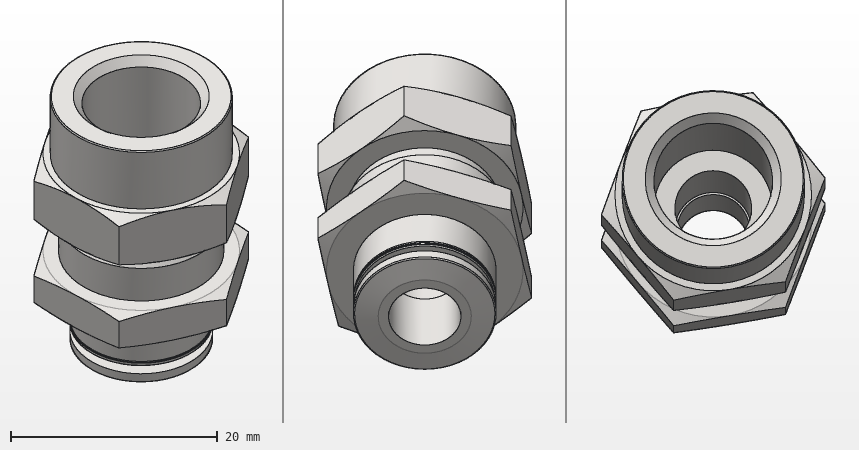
import cadquery as cq
import math

hex_across_flats = 19.0
hex_across_corners = hex_across_flats / math.cos(math.radians(30))
upper_hex_bottom = 17.0
upper_hex_height = 6.0
upper_hex_corner_drop = 0.7
lower_hex_bottom = 7.2
lower_hex_height = 4.0
lower_hex_corner_drop = 0.4

total_height = 30.0
head_diameter = 17.6
head_chamfer = 0.12
neck_diameter = 14.75
neck_bottom = 15.8
shank_diameter = 16.0
shank_taper_bottom = 15.15
sleeve_diameter = 13.8
sleeve_bottom = 2.4
sleeve_groove_diameter = 13.62
sleeve_groove_top = 3.0
sleeve_groove_bottom = 2.8
sleeve_chamfer = 0.12

socket_diameter = 11.45
socket_mouth_diameter = 13.15
socket_mouth_depth = (socket_mouth_diameter - socket_diameter) / 2
socket_floor = upper_hex_bottom
passage_diameter = 7.4

ring_stem_diameter = 8.8
ring_stem_base_diameter = 8.95
ring_stem_taper_top = 1.83
ring_bore_diameter = 7.0
ring_top = lower_hex_bottom
flange_diameter = 13.8
flange_top = 1.5
flange_rim_bottom = 0.55
flange_edge_bottom = 0.42
flange_edge_diameter = 13.55
flange_face_diameter = 9.0


def revolved(points):
    """Revolve a closed (radius, z) outline about the Z axis."""
    return cq.Workplane("XZ").polyline(points).close().revolve(360, (0, 0), (0, 1))


def chamfered_hexagon(bottom, height, corner_drop):
    """Hexagonal prism whose corners are turned down to a cone at both ends."""
    face_radius = hex_across_flats / 2
    corner_radius = hex_across_corners / 2
    top = bottom + height
    prism = cq.Workplane("XY").workplane(offset=bottom).polygon(6, hex_across_corners).extrude(height)
    envelope = revolved([
        (0, bottom),
        (face_radius, bottom),
        (corner_radius, bottom + corner_drop),
        (corner_radius, top - corner_drop),
        (face_radius, top),
        (0, top),
    ])
    return prism.intersect(envelope)


def make_housing():
    """Turned body with two hexagons, a socket on top and a seat for the release ring below."""
    head_radius = head_diameter / 2
    neck_radius = neck_diameter / 2
    shank_radius = shank_diameter / 2
    sleeve_radius = sleeve_diameter / 2
    groove_radius = sleeve_groove_diameter / 2
    turned_body = revolved([
        (0, sleeve_bottom),
        (sleeve_radius - sleeve_chamfer, sleeve_bottom),
        (sleeve_radius, sleeve_bottom + sleeve_chamfer),
        (sleeve_radius, sleeve_groove_bottom),
        (groove_radius, sleeve_groove_bottom),
        (sleeve_radius, sleeve_groove_top),
        (sleeve_radius, lower_hex_bottom),
        (shank_radius, lower_hex_bottom),
        (shank_radius, shank_taper_bottom),
        (neck_radius, neck_bottom),
        (neck_radius, upper_hex_bottom),
        (head_radius, upper_hex_bottom),
        (head_radius, total_height - head_chamfer),
        (head_radius - head_chamfer, total_height),
        (0, total_height),
    ])
    upper_hexagon = chamfered_hexagon(upper_hex_bottom, upper_hex_height, upper_hex_corner_drop)
    lower_hexagon = chamfered_hexagon(lower_hex_bottom, lower_hex_height, lower_hex_corner_drop)

    seat_radius = ring_stem_diameter / 2
    passage_radius = passage_diameter / 2
    socket_radius = socket_diameter / 2
    stepped_bore = revolved([
        (0, sleeve_bottom),
        (seat_radius, sleeve_bottom),
        (seat_radius, ring_top),
        (passage_radius, ring_top),
        (passage_radius, socket_floor),
        (socket_radius, socket_floor),
        (socket_radius, total_height - socket_mouth_depth),
        (socket_mouth_diameter / 2, total_height),
        (0, total_height),
    ])
    return turned_body.union(upper_hexagon).union(lower_hexagon).cut(stepped_bore)


def make_release_ring():
    """Flanged tube seated in the lower end of the housing."""
    bore_radius = ring_bore_diameter / 2
    stem_radius = ring_stem_diameter / 2
    flange_radius = flange_diameter / 2
    return revolved([
        (bore_radius, 0),
        (flange_face_diameter / 2, 0),
        (flange_edge_diameter / 2, flange_edge_bottom),
        (flange_radius, flange_rim_bottom),
        (flange_radius, flange_top),
        (ring_stem_base_diameter / 2, flange_top),
        (stem_radius, ring_stem_taper_top),
        (stem_radius, ring_top),
        (bore_radius, ring_top),
    ])


housing = make_housing()
release_ring = make_release_ring()
result = cq.Compound.makeCompound([housing.val(), release_ring.val()])